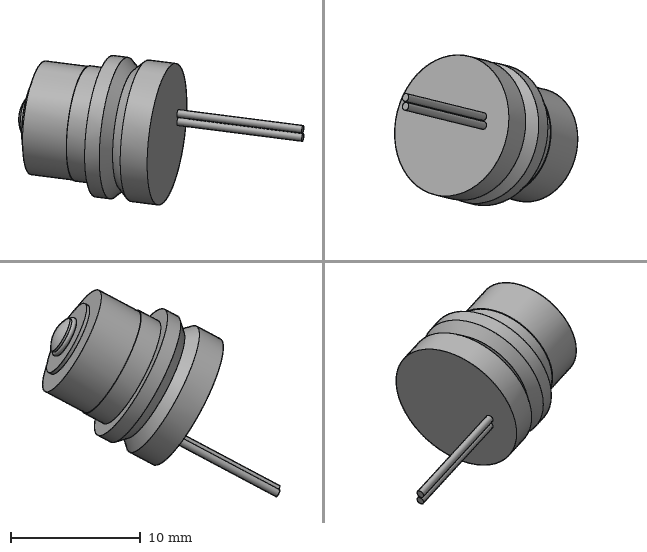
import cadquery as cq

total_length = 21.8
dome_end = 0.44
bead_start = 0.6
washer_start = 1.0
washer_end = 1.29
barrel_start = 1.48
collar_start = 5.01
flange_start = 6.78
groove_start = 7.95
groove_width = 1.68
body_end = 11.8

button_radius = 1.44
bead_radius = 1.65
washer_radius = 3.0
neck_radius = 1.42
barrel_radius = 4.43
collar_radius = 4.5
flange_radius = 5.505
groove_depth = 0.78

wire_radius = 0.3
wire_spacing = 0.7
wire_offset_y = 3.05

groove_middle = groove_start + groove_width / 2

bead_round = (washer_start - bead_start) / 2
bead_middle = bead_start + bead_round
bead_shoulder_radius = bead_radius - bead_round

dome_sphere_radius = (button_radius**2 + dome_end**2) / (2 * dome_end)
dome_mid_radius = button_radius / 2
dome_mid_x = dome_sphere_radius - (dome_sphere_radius**2 - dome_mid_radius**2) ** 0.5


def make_turned_body():
    """Button, washer, barrel and grooved flange revolved about X."""
    profile = (
        cq.Workplane("XY")
        .moveTo(0, 0)
        .threePointArc((dome_mid_x, dome_mid_radius), (dome_end, button_radius))
        .lineTo(bead_start, button_radius)
        .lineTo(bead_start, bead_shoulder_radius)
        .tangentArcPoint((bead_middle, bead_radius), relative=False)
        .tangentArcPoint((washer_start, bead_shoulder_radius), relative=False)
        .lineTo(washer_start, washer_radius)
        .lineTo(washer_end, washer_radius)
        .lineTo(washer_end, neck_radius)
        .lineTo(barrel_start, neck_radius)
        .lineTo(barrel_start, barrel_radius)
        .lineTo(collar_start, barrel_radius)
        .lineTo(collar_start, collar_radius)
        .lineTo(flange_start, collar_radius)
        .lineTo(flange_start, flange_radius)
        .lineTo(groove_start, flange_radius)
        .lineTo(groove_middle, flange_radius - groove_depth)
        .lineTo(groove_start + groove_width, flange_radius)
        .lineTo(body_end, flange_radius)
        .lineTo(body_end, 0)
        .close()
    )
    return profile.revolve(360, (0, 0, 0), (1, 0, 0))


def make_wires():
    """Two parallel round wires, one above the other, running along X."""
    return (
        cq.Workplane("YZ", origin=(body_end, 0, 0))
        .pushPoints([(wire_offset_y, side * wire_spacing / 2) for side in (-1, 1)])
        .circle(wire_radius)
        .extrude(total_length - body_end)
    )


result = make_turned_body().union(make_wires())